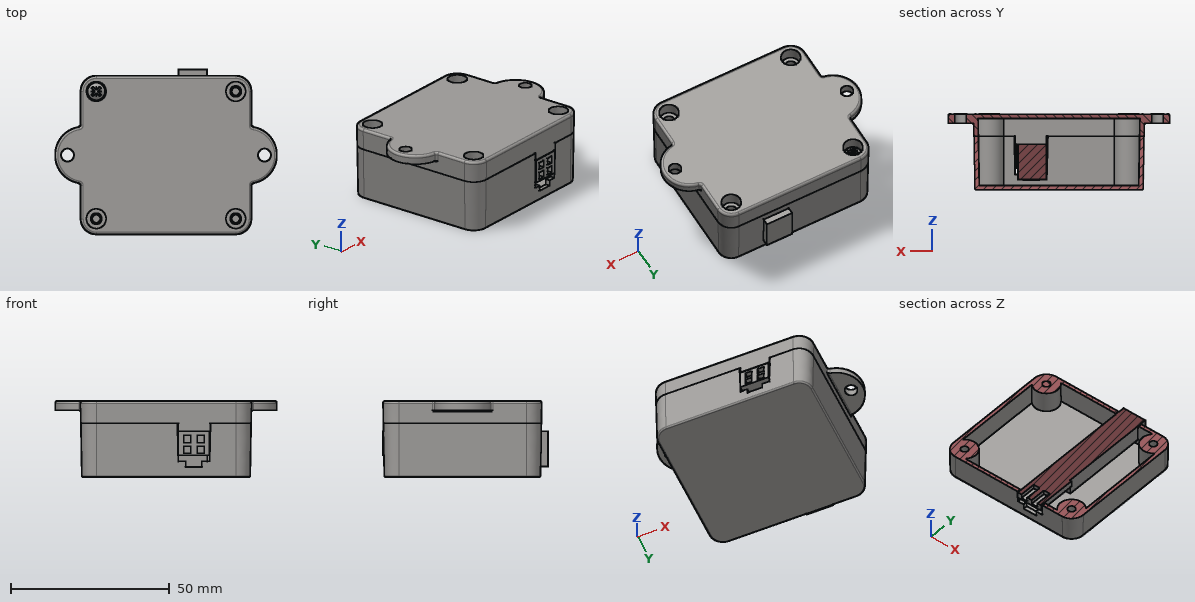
import cadquery as cq
import math

case_length = 53.91
case_width = 50.06
case_height = 24.0
corner_radius = 5.0
draft_angle = 1.0
wall = 1.5
lid_height = 7.0
joint_z = case_height - lid_height
top_fillet = 0.8
bottom_fillet = 0.5

ear_radius = 9.0
ear_thickness = 3.0
ear_bottom_z = case_height - ear_thickness
ear_tip_x = 34.955
ear_center_x = ear_tip_x - ear_radius
ear_hole_diameter = 4.0
ear_hole_x = 31.0
ear_corner_fillet = 0.7
ear_underside_fillet = 0.4

screw_x = case_length / 2 - corner_radius
screw_y = case_width / 2 - corner_radius
screw_points = [(sx * screw_x, sy * screw_y) for sx in (-1, 1) for sy in (-1, 1)]
counterbore_diameter = 6.2
counterbore_depth = 4.4
seat_z = case_height - counterbore_depth
clearance_diameter = 3.5
pilot_diameter = 2.5
boss_diameter = counterbore_diameter + 2 * wall
pilot_bottom_z = 5.0

head_diameter = 5.5
head_rim_height = 0.8
head_height = 2.0
shank_bottom_z = 7.0
recess_arm_width = 0.7
recess_length = 3.6
recess_depth = 1.2
tick_width = 0.15
tick_length = 3.0
tick_depth = 0.5

connector_x = 8.8
plug_left_x = 3.9
plug_width = 9.7
plug_front_y = -case_width / 2
plug_length = 15.0
plug_top_z = 14.5
plug_bottom_z = 6.8
block_width = 9.06
block_bottom_z = 3.3
block_back_y = 26.99
cavity_size = 2.25
cavity_depth = 6.0
cavity_pitch_x = 4.2
cavity_pitch_z = 3.37
cavity_row_z = 10.3

opening_top_width = 10.55
opening_bottom_width = 9.95
opening_bottom_z = 4.95
notch_x = 8.74
notch_width = 5.1
notch_bottom_z = 3.13
tongue_left_x = plug_left_x
tongue_right_x = 13.87


def box(x_range, y_range, z_range):
    """Box between the given limits along each axis."""
    lengths = [high - low for low, high in (x_range, y_range, z_range)]
    return cq.Workplane("XY").box(*lengths, centered=False).translate((x_range[0], y_range[0], z_range[0]))


def drafted_block(inset, top_z, bottom_z):
    """Rounded block inside the case's drafted sides, set in by `inset`."""
    drop = (case_height - top_z) * math.tan(math.radians(draft_angle))
    offset = inset + drop
    downward = cq.Plane(origin=(0, 0, top_z), xDir=(1, 0, 0), normal=(0, 0, -1))
    outline = cq.Sketch().rect(case_length - 2 * offset, case_width - 2 * offset)
    outline = outline.vertices().fillet(corner_radius - offset)
    return cq.Workplane(downward).placeSketch(outline).extrude(top_z - bottom_z, taper=draft_angle)


def cylinders(points, diameter, bottom_z, top_z):
    """Upright cylinders at the given points."""
    plane = cq.Workplane("XY", origin=(0, 0, bottom_z))
    return plane.pushPoints(points).circle(diameter / 2).extrude(top_z - bottom_z)


def front_opening():
    """Tapered opening through the front wall, open at the joint, with a notch below it."""
    cut_back_y = -case_width / 2 + 2 * wall
    cut_length = cut_back_y + case_width
    plane = cq.Workplane("XZ", origin=(connector_x, cut_back_y, 0))
    half_top = opening_top_width / 2
    half_bottom = opening_bottom_width / 2
    opening = plane.polyline([
        (-half_bottom, opening_bottom_z),
        (half_bottom, opening_bottom_z),
        (half_top, joint_z),
        (-half_top, joint_z),
    ]).close().extrude(cut_length)
    notch = box(
        (notch_x - notch_width / 2, notch_x + notch_width / 2),
        (cut_back_y - cut_length, cut_back_y),
        (notch_bottom_z, opening_bottom_z),
    )
    return opening.union(notch)


def make_base():
    outer = drafted_block(0, joint_z, 0).faces("<Z").edges().fillet(bottom_fillet)
    hollow = drafted_block(wall, joint_z, wall)
    posts = cylinders(screw_points, boss_diameter, wall, joint_z)
    base = outer.cut(hollow.cut(posts))
    base = base.cut(cylinders(screw_points, pilot_diameter, pilot_bottom_z, joint_z))
    return base.cut(front_opening()).cut(connector_block())


def edges_near(x, y, z, reach):
    """Selector for the edges whose middle lies within `reach` of a point."""
    return cq.selectors.BoxSelector((x - reach, y - reach, z - reach), (x + reach, y + reach, z + reach))


def ear_root_strip():
    """Concave strip under the +X ear, between its underside and the case side."""
    side_x = case_length / 2 - ear_thickness * math.tan(math.radians(draft_angle))
    half_width = ear_radius + ear_underside_fillet / 2
    inner_x = side_x - wall / 2
    outer_x = side_x + ear_underside_fillet
    bottom_z = ear_bottom_z - ear_underside_fillet
    arc_inset = ear_underside_fillet * (1 - math.sqrt(0.5))
    return (
        cq.Workplane("XZ", origin=(0, half_width, 0))
        .moveTo(inner_x, ear_bottom_z)
        .lineTo(outer_x, ear_bottom_z)
        .threePointArc((side_x + arc_inset, ear_bottom_z - arc_inset), (side_x, bottom_z))
        .lineTo(inner_x, bottom_z)
        .close()
        .extrude(2 * half_width)
    )


def make_lid():
    ears = cylinders([(-ear_center_x, 0), (ear_center_x, 0)], 2 * ear_radius, ear_bottom_z, case_height)
    lid = drafted_block(0, case_height, joint_z).union(ears)

    corner_y = math.sqrt(ear_radius**2 - (case_length / 2 - ear_center_x) ** 2)
    reach = 0.3
    for side_x in (-case_length / 2, case_length / 2):
        for side_y in (-corner_y, corner_y):
            corner = edges_near(side_x, side_y, case_height - ear_thickness / 2, reach)
            lid = lid.edges(corner).fillet(ear_corner_fillet)

    lid = lid.faces(">Z").edges().fillet(top_fillet)
    lid = lid.union(ear_root_strip()).union(ear_root_strip().mirror("YZ"))

    hollow = drafted_block(wall, case_height - wall, joint_z)
    bosses = cylinders(screw_points, boss_diameter, joint_z, case_height)
    lid = lid.cut(hollow.cut(bosses))
    lid = lid.cut(cylinders(screw_points, counterbore_diameter, seat_z, case_height))
    lid = lid.cut(cylinders(screw_points, clearance_diameter, joint_z, seat_z))
    ear_holes = [(-ear_hole_x, 0), (ear_hole_x, 0)]
    lid = lid.cut(cylinders(ear_holes, ear_hole_diameter, ear_bottom_z, case_height))
    return lid.union(make_tongue())


def make_tongue():
    """Wall piece hanging from the lid, flush with the drafted front."""
    slab = box(
        (tongue_left_x, tongue_right_x),
        (-case_width / 2, -case_width / 2 + 2 * wall),
        (plug_top_z, joint_z),
    )
    shell = drafted_block(0, case_height, 0).cut(drafted_block(wall, case_height, 0))
    return slab.intersect(shell)


def connector_block():
    """Rear part of the connector, which passes through the back wall."""
    return box(
        (plug_left_x, plug_left_x + block_width),
        (plug_front_y + plug_length, block_back_y),
        (block_bottom_z, plug_top_z),
    )


def make_connector():
    plug = box(
        (plug_left_x, plug_left_x + plug_width),
        (plug_front_y, plug_front_y + plug_length),
        (plug_bottom_z, plug_top_z),
    )
    cavities = (
        cq.Workplane("XZ", origin=(connector_x, plug_front_y + cavity_depth, cavity_row_z))
        .rarray(cavity_pitch_x, cavity_pitch_z, 2, 2)
        .rect(cavity_size, cavity_size)
        .extrude(cavity_depth)
    )
    return plug.union(connector_block()).cut(cavities)


def make_screw():
    """Domed screw with a cross recess and four tick marks between its arms."""
    head_radius = head_diameter / 2
    dome_rise = head_height - head_rim_height
    dome_radius = (head_radius**2 + dome_rise**2) / (2 * dome_rise)
    mid_angle = math.asin(head_radius / dome_radius) / 2
    dome_mid = (
        dome_radius * math.sin(mid_angle),
        head_height - dome_radius * (1 - math.cos(mid_angle)),
    )
    shank_radius = pilot_diameter / 2
    shank_end = shank_bottom_z - seat_z
    screw = (
        cq.Workplane("XZ")
        .moveTo(0, shank_end)
        .lineTo(shank_radius, shank_end)
        .lineTo(shank_radius, 0)
        .lineTo(head_radius, 0)
        .lineTo(head_radius, head_rim_height)
        .threePointArc(dome_mid, (0, head_height))
        .close()
        .revolve(360, (0, 0, 0), (0, 1, 0))
    )
    for angle in (0, 90):
        arm = cq.Workplane("XY").box(recess_length, recess_arm_width, 2 * recess_depth)
        tick = cq.Workplane("XY").box(tick_length, tick_width, 2 * tick_depth)
        for groove, turn in ((arm, angle + 45), (tick, angle)):
            screw = screw.cut(groove.rotate((0, 0, 0), (0, 0, 1), turn).translate((0, 0, head_height)))
    return screw.translate((-screw_x, screw_y, seat_z))


base = make_base().solids()
lid = make_lid().solids()
connector = make_connector().solids()
screw = make_screw().solids()

result = cq.Compound.makeCompound([base.val(), lid.val(), connector.val(), screw.val()])